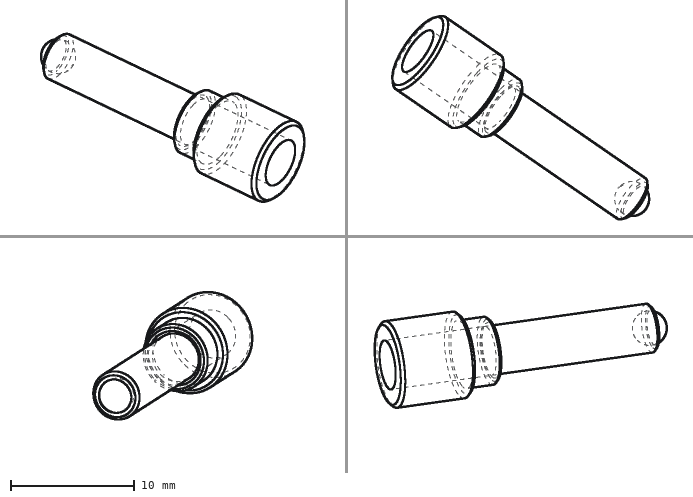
import cadquery as cq

overall_length = 23.9

ball_radius = 1.4
ball_projection = 1.17

pin_radius = 2.0
pin_chamfer = 0.26

collar_start = 15.0
collar_radius = 2.8
collar_chamfer = 0.25
bore_chamfer = 0.26

head_start = 17.5
head_radius = 3.55
head_chamfer = 0.29


def cylinder_along_x(start, end, radius):
    """Solid round bar on the X axis between two X positions."""
    return cq.Workplane("YZ", origin=(start, 0, 0)).circle(radius).extrude(end - start)


def make_ball():
    """Full ball whose tip touches x = 0."""
    return cq.Workplane("XY").sphere(ball_radius).translate((ball_radius, 0, 0))


def make_pin():
    """Straight pin flush with the back of the head, with a spherical seat for the ball."""
    pin = cylinder_along_x(ball_projection, overall_length, pin_radius)
    pin = pin.faces("<X").chamfer(pin_chamfer)
    return pin.cut(make_ball())


def make_sleeve():
    """Stepped sleeve: a slim collar and a larger head around one through bore."""
    collar = cylinder_along_x(collar_start, head_start, collar_radius)
    collar = collar.faces("<X").chamfer(collar_chamfer)
    head = cylinder_along_x(head_start, overall_length, head_radius)
    head = head.faces("<X or >X").chamfer(head_chamfer)
    bore = cylinder_along_x(collar_start, overall_length, pin_radius)
    sleeve = collar.union(head).cut(bore)
    return sleeve.faces("<X").edges(cq.selectors.RadiusNthSelector(0)).chamfer(bore_chamfer)


ball = make_ball()
pin = make_pin()
sleeve = make_sleeve()

result = cq.Compound.makeCompound([ball.val(), pin.val(), sleeve.val()])